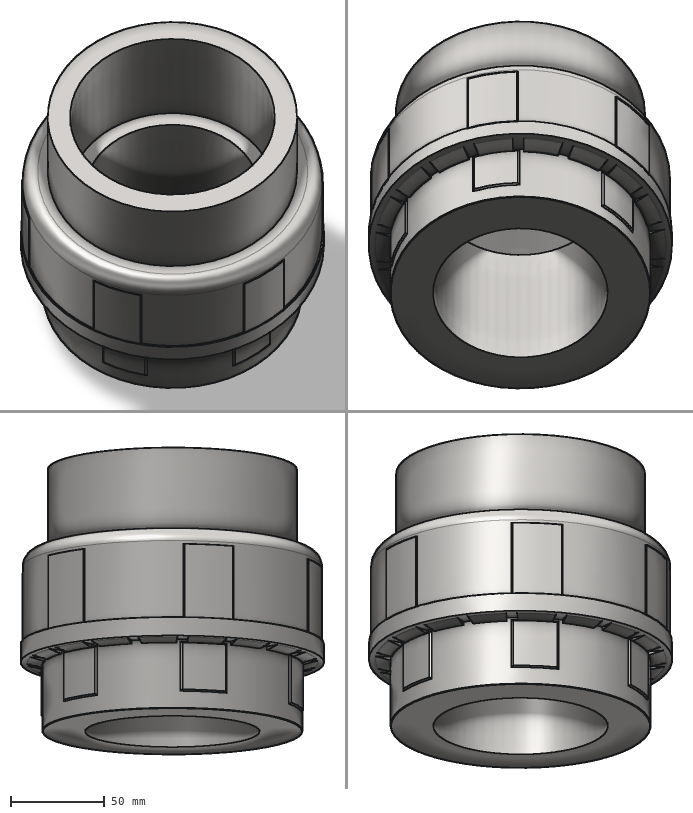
import cadquery as cq
import math

total_height = 143.0
collar_bottom = 37.7
collar_top = 47.8
nut_top = 97.8
socket_depth = 61.5

body_diameter = 139.9
collar_diameter = 163.0
nut_diameter = 161.0
spigot_diameter = 134.0

bore_diameter = 93.7
socket_diameter = 110.0

nut_rounding = 8.0
bottom_chamfer = 0.3

tooth_count = 18
tooth_height = 1.8
tooth_ring_top_diameter = 156.2
tooth_ring_bottom_diameter = 141.8
tooth_gap_width = 5.9

pad_count = 6
nut_pad_width = 27.9
nut_pad_top = 87.9
nut_pad_rise = 0.5
nut_pad_end_bevel = 0.0
body_pad_width = 25.8
body_pad_bottom = 9.5
body_pad_top = 36.5
body_pad_rise = 0.8
body_pad_end_bevel = 0.8
pad_overlap = 3.3


def cylinder(diameter, bottom, top):
    return cq.Workplane("XY").workplane(offset=bottom).circle(diameter / 2).extrude(top - bottom)


def grip_pads(surface_diameter, rise, end_bevel, width, bottom, top):
    """Pads spaced around a cylinder, with curved outer faces and bevelled sides.

    width is measured where the pad sides meet the cylinder;
    end_bevel is the height lost at the top and bottom ends across the rise.
    """
    inner_radius = surface_diameter / 2 - pad_overlap
    surface_radius = surface_diameter / 2
    outer_radius = surface_radius + rise
    band = (
        cq.Workplane("XZ")
        .moveTo(inner_radius, bottom)
        .lineTo(surface_radius, bottom)
        .lineTo(outer_radius, bottom + end_bevel)
        .lineTo(outer_radius, top - end_bevel)
        .lineTo(surface_radius, top)
        .lineTo(inner_radius, top)
        .close()
        .revolve(360, (0, 0), (0, 1))
    )

    half_width = width / 2
    chord_distance = math.sqrt(surface_radius**2 - half_width**2)
    wedge = (
        cq.Workplane("XY")
        .workplane(offset=bottom)
        .moveTo(-half_width, -chord_distance)
        .lineTo(0, -chord_distance - half_width)
        .lineTo(half_width, -chord_distance)
        .lineTo(half_width, -chord_distance + pad_overlap)
        .lineTo(-half_width, -chord_distance + pad_overlap)
        .close()
        .extrude(top - bottom)
    )
    pad = band.intersect(wedge)

    pads = pad
    for index in range(1, pad_count):
        pads = pads.union(pad.rotate((0, 0, 0), (0, 0, 1), index * 360 / pad_count))
    return pads


def tooth_ring():
    """Conical ring under the collar, split into teeth by radial gaps."""
    ring = (
        cq.Workplane("XY")
        .workplane(offset=collar_bottom)
        .circle(tooth_ring_top_diameter / 2)
        .workplane(offset=-tooth_height)
        .circle(tooth_ring_bottom_diameter / 2)
        .loft()
    )
    gap_pitch = 360 / tooth_count
    gaps = (
        cq.Workplane("XY")
        .workplane(offset=collar_bottom - tooth_height)
        .polarArray(collar_diameter / 4, -90 + gap_pitch / 2, 360, tooth_count)
        .rect(collar_diameter / 2, tooth_gap_width)
        .extrude(tooth_height)
    )
    return ring.cut(gaps)


body = cylinder(body_diameter, 0, collar_top).faces("<Z").chamfer(bottom_chamfer)
collar = cylinder(collar_diameter, collar_bottom, collar_top)
nut = cylinder(nut_diameter, collar_top, nut_top).faces(">Z").edges().fillet(nut_rounding)
spigot = cylinder(spigot_diameter, collar_top, total_height)
shell = body.union(collar).union(nut).union(spigot)

shell = shell.union(tooth_ring())
nut_pads = grip_pads(
    nut_diameter, nut_pad_rise, nut_pad_end_bevel, nut_pad_width, collar_bottom, nut_pad_top
)
body_pads = grip_pads(
    body_diameter, body_pad_rise, body_pad_end_bevel, body_pad_width, body_pad_bottom, body_pad_top
)
shell = shell.union(nut_pads).union(body_pads)

bore = cylinder(bore_diameter, 0, total_height)
socket = cylinder(socket_diameter, total_height - socket_depth, total_height)
result = shell.cut(bore).cut(socket)